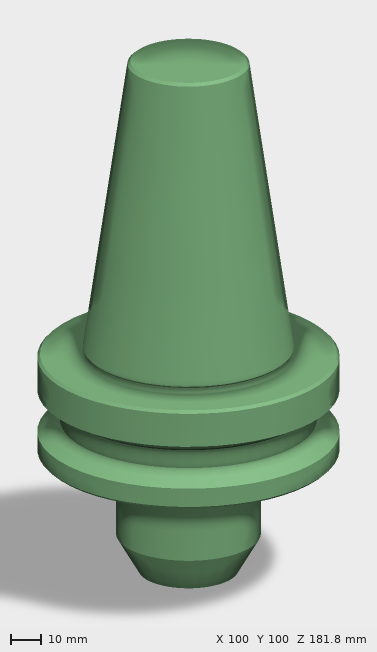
import cadquery as cq
import math

total_height = 181.8
gauge_height = 80.0

nose_radius = 24.0
nose_tip_radius = 16.5
nose_cone_half_angle = math.radians(30)
nose_fillet = 2.9

flange_radius = 50.0
flange_bottom = 42.0
flange_top = 77.0
flange_chamfer = 0.9
groove_floor_radius = 42.5
groove_floor_width = 6.4
groove_center_height = 56.9
groove_flank_angle = math.radians(30)

taper_radius = 34.9
taper_ratio = 7 / 24
taper_top_chamfer = 0.9
neck_radius = 34.2
neck_chamfer = taper_radius - neck_radius
neck_fillet = 1.3
land_height = 0.4

nose_cone_height = (nose_radius - nose_tip_radius) / math.tan(nose_cone_half_angle)
groove_half_floor = groove_floor_width / 2
groove_half_mouth = groove_half_floor + (flange_radius - groove_floor_radius) * math.tan(groove_flank_angle)
taper_top_radius = taper_radius - (total_height - gauge_height) * taper_ratio / 2
chamfer_base_radius = taper_top_radius + taper_top_chamfer * taper_ratio / 2
land_bottom = gauge_height - land_height
flange_face_radius = flange_radius - flange_chamfer
nose_fillet_end_radius = nose_radius + nose_fillet
neck_fillet_end_radius = neck_radius + neck_fillet

profile = (
    cq.Workplane("XZ")
    .moveTo(0, 0)
    .lineTo(nose_tip_radius, 0)
    .lineTo(nose_radius, nose_cone_height)
    .lineTo(nose_radius, flange_bottom - nose_fillet)
    .radiusArc((nose_fillet_end_radius, flange_bottom), nose_fillet)
    .lineTo(flange_face_radius, flange_bottom)
    .lineTo(flange_radius, flange_bottom + flange_chamfer)
    .lineTo(flange_radius, groove_center_height - groove_half_mouth)
    .lineTo(groove_floor_radius, groove_center_height - groove_half_floor)
    .lineTo(groove_floor_radius, groove_center_height + groove_half_floor)
    .lineTo(flange_radius, groove_center_height + groove_half_mouth)
    .lineTo(flange_radius, flange_top - flange_chamfer)
    .lineTo(flange_face_radius, flange_top)
    .lineTo(neck_fillet_end_radius, flange_top)
    .radiusArc((neck_radius, flange_top + neck_fillet), neck_fillet)
    .lineTo(neck_radius, land_bottom - neck_chamfer)
    .lineTo(taper_radius, land_bottom)
    .lineTo(taper_radius, gauge_height)
    .lineTo(chamfer_base_radius, total_height - taper_top_chamfer)
    .lineTo(taper_top_radius - taper_top_chamfer, total_height)
    .lineTo(0, total_height)
    .close()
)

result = profile.revolve(360, (0, 0, 0), (0, 1, 0))